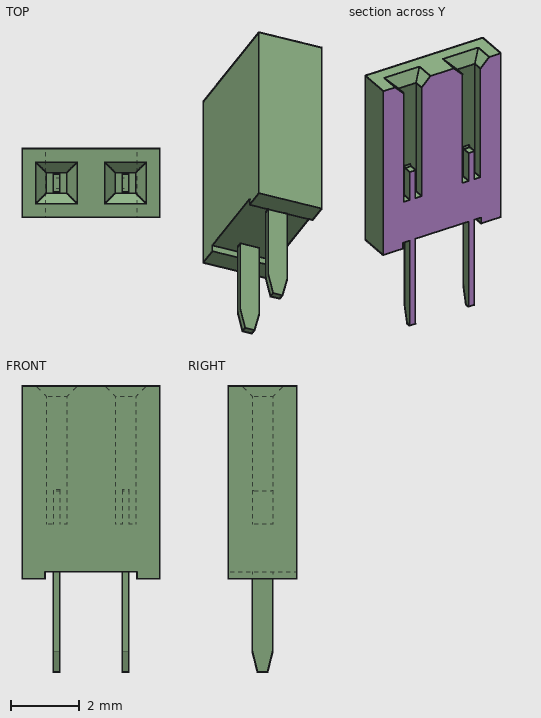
import cadquery as cq

pitch = 2.0
contact_count = 2
housing_length = pitch * contact_count
housing_width = 2.0
housing_height = 5.6

foot_length = housing_length / 6
notch_height = 0.2

mouth_size = 1.2
socket_size = 0.6
funnel_depth = 0.3
socket_depth = 4.0

pin_thickness = 0.2
pin_width = 0.6
pin_tip_width = 0.3
pin_taper_length = 0.6
pin_projection = 2.7

contact_rise = 1.0
dish_floor_width = 0.5
dish_depth = 0.05

socket_floor_z = housing_height - socket_depth
contact_top_z = socket_floor_z + contact_rise
contact_positions = [(i - (contact_count - 1) / 2) * pitch for i in range(contact_count)]


def make_housing():
    """Rectangular block with a full-width notch that leaves a foot at each end."""
    block = cq.Workplane("XY").box(
        housing_length, housing_width, housing_height, centered=(True, True, False)
    )
    notch = cq.Workplane("XY").box(
        housing_length - 2 * foot_length, housing_width, notch_height, centered=(True, True, False)
    )
    return block.cut(notch)


def make_socket(x):
    """Square hole with a tapered lead-in at the top face."""
    funnel = (
        cq.Workplane("XY", origin=(x, 0, housing_height))
        .rect(mouth_size, mouth_size)
        .workplane(offset=-funnel_depth)
        .rect(socket_size, socket_size)
        .loft(ruled=True)
    )
    hole = cq.Workplane("XY", origin=(x, 0, socket_floor_z)).box(
        socket_size, socket_size, socket_depth, centered=(True, True, False)
    )
    return funnel.union(hole)


def make_contact(x):
    """Flat pin with a tapered tip below and a dished top whose ends slope inward."""
    tip_z = -pin_projection
    taper_z = tip_z + pin_taper_length
    dish_floor_z = contact_top_z - dish_depth
    return (
        cq.Workplane("YZ", origin=(x - pin_thickness / 2, 0, 0))
        .polyline(
            [
                (-pin_width / 2, contact_top_z),
                (-pin_width / 2, taper_z),
                (-pin_tip_width / 2, tip_z),
                (pin_tip_width / 2, tip_z),
                (pin_width / 2, taper_z),
                (pin_width / 2, contact_top_z),
                (dish_floor_width / 2, dish_floor_z),
                (-dish_floor_width / 2, dish_floor_z),
            ]
        )
        .close()
        .extrude(pin_thickness)
    )


result = make_housing()
for contact_x in contact_positions:
    result = result.cut(make_socket(contact_x)).union(make_contact(contact_x))